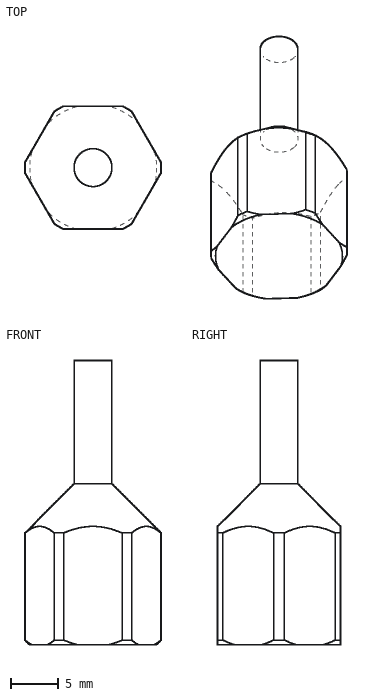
import cadquery as cq
import math

total_height = 30.0
across_flats = 13.0
corner_diameter = 14.4
stem_diameter = 4.0
stem_base_height = 17.0
cone_angle = 45.0
foot_diameter = 13.4
foot_chamfer_angle = 45.0

stem_radius = stem_diameter / 2
corner_radius = corner_diameter / 2
foot_radius = foot_diameter / 2
across_corners = across_flats / math.cos(math.radians(30))
cone_base_height = stem_base_height - (corner_radius - stem_radius) * math.tan(math.radians(cone_angle))
foot_chamfer_height = (corner_radius - foot_radius) * math.tan(math.radians(foot_chamfer_angle))


def turned_body():
    """Stem, cone, cylindrical body and bottom chamfer revolved about Z."""
    return (
        cq.Workplane("XZ")
        .moveTo(0, 0)
        .lineTo(foot_radius, 0)
        .lineTo(corner_radius, foot_chamfer_height)
        .lineTo(corner_radius, cone_base_height)
        .lineTo(stem_radius, stem_base_height)
        .lineTo(stem_radius, total_height)
        .lineTo(0, total_height)
        .close()
        .revolve(360, (0, 0, 0), (0, 1, 0))
    )


def hexagon_bar():
    """Hexagonal bar with corners on the X axis, as tall as the part."""
    return cq.Workplane("XY").polygon(6, across_corners).extrude(total_height)


result = turned_body().intersect(hexagon_bar())